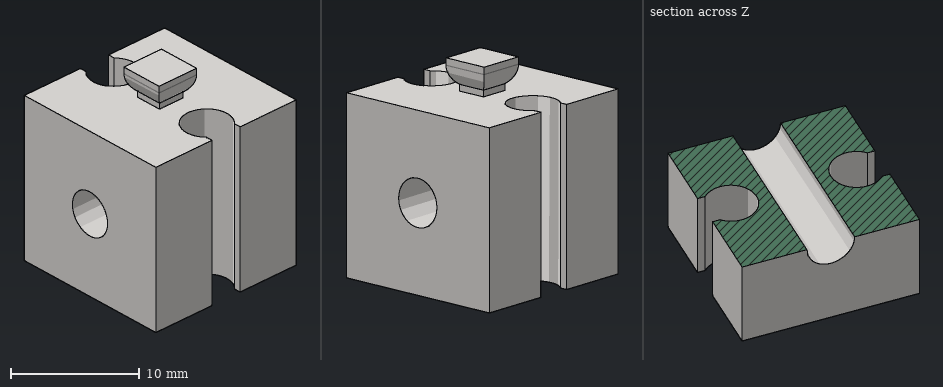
import cadquery as cq
import math

cube_side = 15.0
total_height = 17.7

cross_hole_diameter = 4.0

channel_diameter = 4.3
channel_inset = 2.2
mouth_width = 3.0

cap_width = 4.0
cap_thickness = 0.6
neck_width = 2.5

cap_half = cap_width / 2
neck_half = neck_width / 2
cap_bottom = total_height - cap_thickness
arc_radius = cap_half
neck_top = cap_bottom - math.sqrt(arc_radius**2 - neck_half**2)
arc_mid_angle = math.acos(neck_half / arc_radius) / 2
arc_mid_x = arc_radius * math.cos(arc_mid_angle)
arc_mid_z = cap_bottom - arc_radius * math.sin(arc_mid_angle)


def make_body():
    """Cube with the round hole through its front and back faces."""
    cube = cq.Workplane("XY").box(cube_side, cube_side, cube_side, centered=(True, True, False))
    return cube.faces("<Y").workplane(centerOption="CenterOfBoundBox").hole(cross_hole_diameter)


def make_channel(side):
    """Cutter for the keyhole channel on the -X (side = -1) or +X (side = 1) face."""
    axis_x = side * (cube_side / 2 - channel_inset)
    bore = cq.Workplane("XY").center(axis_x, 0).circle(channel_diameter / 2).extrude(cube_side)
    mouth_x = side * (cube_side - channel_inset) / 2
    mouth = cq.Workplane("XY").center(mouth_x, 0).rect(channel_inset, mouth_width).extrude(cube_side)
    return bore.union(mouth)


def make_stud_profile(plane):
    """Stud outline drawn on a vertical plane and extruded to the cap width."""
    return (
        cq.Workplane(plane)
        .moveTo(-neck_half, cube_side)
        .lineTo(neck_half, cube_side)
        .lineTo(neck_half, neck_top)
        .threePointArc((arc_mid_x, arc_mid_z), (cap_half, cap_bottom))
        .lineTo(cap_half, total_height)
        .lineTo(-cap_half, total_height)
        .lineTo(-cap_half, cap_bottom)
        .threePointArc((-arc_mid_x, arc_mid_z), (-neck_half, neck_top))
        .close()
        .extrude(cap_half, both=True)
    )


body = make_body()
for side in (-1, 1):
    body = body.cut(make_channel(side))

stud = make_stud_profile("XZ").intersect(make_stud_profile("YZ"))

result = body.union(stud)